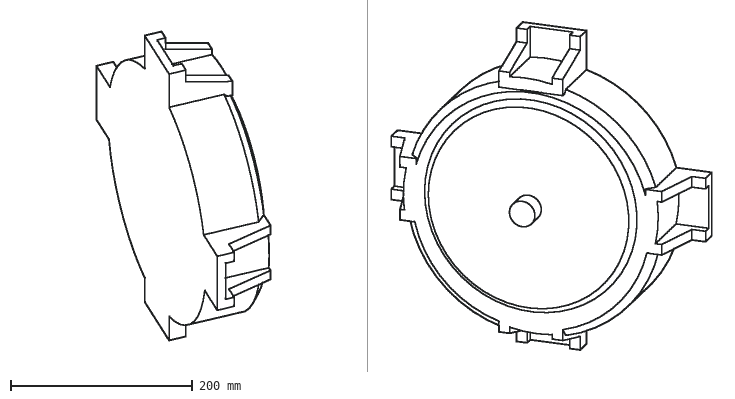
import cadquery as cq

body_radius = 150.0
body_height = 75.0
body_chamfer = 10.0
body_offset_z = -6.4

cap_radius = 125.0
cap_height = 7.0

shaft_diameter = 30.0
shaft_length = 20.0

lug_count = 4
lug_span = 370.0
lug_width = 75.0
lug_foot_height = 20.0
lug_inner_reach = 135.0
rib_foot_reach = 169.0
rib_top_reach = 154.0

slot_width = 50.0
slot_floor_height = 10.0


def disc(radius, start_y, height):
    """Disc around the Y axis, growing along +Y from start_y."""
    return cq.Workplane("XZ", origin=(0, start_y, 0)).circle(radius).extrude(-height)


def make_body():
    drum = disc(body_radius, 0, body_height).faces(">Y").chamfer(body_chamfer)
    return drum.translate((0, 0, body_offset_z))


def make_cap():
    profile = [
        (0, body_height),
        (cap_radius, body_height),
        (cap_radius - cap_height, body_height + cap_height),
        (0, body_height + cap_height),
    ]
    return cq.Workplane("XY").polyline(profile).close().revolve(360, (0, 0, 0), (0, 1, 0))


def make_shaft():
    return disc(shaft_diameter / 2, body_height, cap_height + shaft_length)


def make_lug():
    """Lug pointing along +X: a foot with a sloped block rising to the drum face."""
    tip = lug_span / 2
    profile = [
        (lug_inner_reach, 0),
        (tip, 0),
        (tip, lug_foot_height),
        (rib_foot_reach, lug_foot_height),
        (rib_top_reach, body_height),
        (lug_inner_reach, body_height),
    ]
    return cq.Workplane("XY").polyline(profile).close().extrude(lug_width / 2, both=True)


def make_slot():
    """Cutter along +X that splits the lug into two ribs; it is open at the tip and stops at
    the drum's own radius and offset, an arc that turns with the slot around the shaft."""
    slot_depth = body_height - slot_floor_height
    channel = cq.Workplane("XY").box(
        lug_span / 2, slot_depth, slot_width, centered=(False, False, True)
    )
    channel = channel.translate((0, slot_floor_height, 0))
    wall = disc(body_radius, 0, body_height).translate((0, 0, body_offset_z))
    return channel.cut(wall)


def around_shaft(shape, index):
    return shape.rotate((0, 0, 0), (0, 1, 0), index * 360 / lug_count)


result = make_body()
for index in range(lug_count):
    result = result.union(around_shaft(make_lug(), index))
for index in range(lug_count):
    result = result.cut(around_shaft(make_slot(), index))
result = result.union(make_cap()).union(make_shaft())